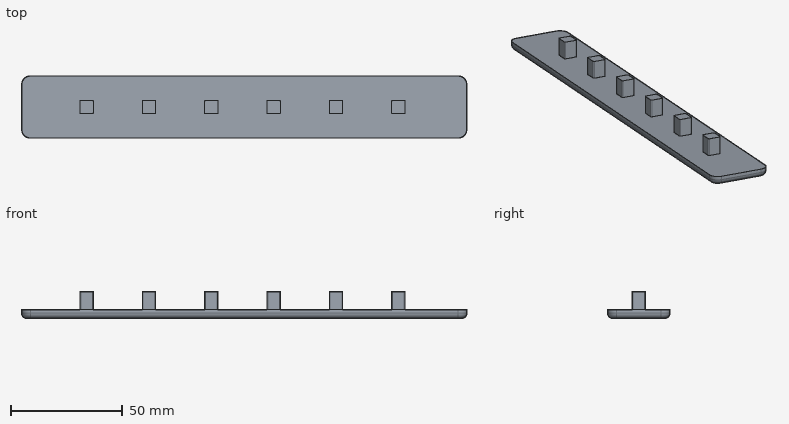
import cadquery as cq

length = 200.0
width = 28.0
plate_thickness = 4.0
corner_radius = 4.0
bottom_edge_radius = 2.5

total_height = 12.0
peg_height = total_height - plate_thickness
peg_side = 6.0
peg_corner_radius = 0.5
peg_count = 6
peg_pitch = 28.0
peg_row_offset = -0.8


def make_plate():
    """Rounded rectangle with its lower rim rounded off; underside at Z = 0."""
    plate = cq.Workplane("XY").box(length, width, plate_thickness, centered=(True, True, False))
    plate = plate.edges("|Z").fillet(corner_radius)
    return plate.faces("<Z").edges().fillet(bottom_edge_radius)


def make_pegs():
    """Evenly spaced pegs with rounded upright edges, standing on the plate's top face."""
    return (
        cq.Workplane("XY", origin=(peg_row_offset, 0, plate_thickness))
        .rarray(peg_pitch, 2, peg_count, 1)
        .rect(peg_side, peg_side)
        .extrude(peg_height)
        .edges("|Z")
        .fillet(peg_corner_radius)
    )


result = make_plate().union(make_pegs())